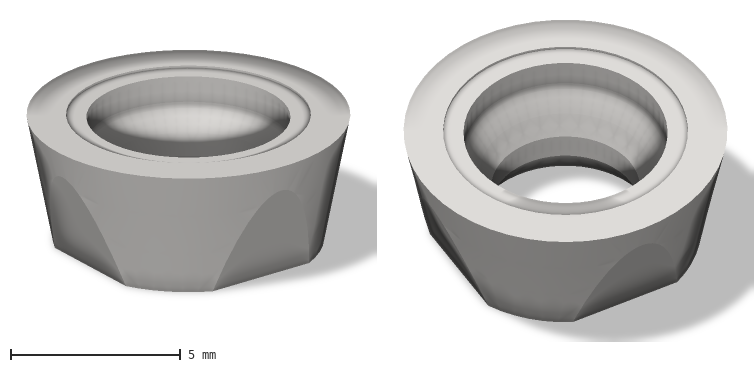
import cadquery as cq
import math

top_radius = 4.765
height = 3.97
clearance_angle = 11.0
bottom_radius = top_radius - height * math.tan(math.radians(clearance_angle))

flat_count = 4
flat_turn = -3.0
flat_tilt = 18.0
flat_distance = 3.58

recess_radius = 3.6
recess_depth = 0.09

bore_radius = 3.0
bore_depth = 0.9
seat_radius = 2.94
seat_depth = 1.07
throat_radius = 2.52
throat_depth = 1.67
hole_radius = 2.19
hole_depth = 2.3
relief_radius = 2.72
relief_height = 0.91


def make_body():
    outline = [(0, 0), (bottom_radius, 0), (top_radius, height), (0, height)]
    return cq.Workplane("XZ").polyline(outline).close().revolve(360, (0, 0), (0, 1))


def make_flat_cutter(angle):
    """Wedge outside one flat, turned to the given angle about Z."""
    top_distance = flat_distance + height * math.tan(math.radians(flat_tilt))
    outside = 2 * top_radius
    return (
        cq.Workplane("XZ")
        .polyline([(flat_distance, 0), (top_distance, height), (outside, height), (outside, 0)])
        .close()
        .extrude(top_radius, both=True)
        .rotate((0, 0, 0), (0, 0, 1), angle)
    )


def make_screw_hole():
    """Revolved hole profile, drawn from the bottom face upwards."""
    return (
        cq.Workplane("XZ")
        .lineTo(relief_radius, 0)
        .lineTo(hole_radius, relief_height)
        .lineTo(hole_radius, height - hole_depth)
        .lineTo(throat_radius, height - throat_depth)
        .tangentArcPoint((seat_radius, height - seat_depth), relative=False)
        .tangentArcPoint((bore_radius, height - bore_depth), relative=False)
        .lineTo(bore_radius, height - recess_depth)
        .lineTo(recess_radius, height - recess_depth)
        .lineTo(recess_radius, height)
        .lineTo(0, height)
        .close()
        .revolve(360, (0, 0), (0, 1))
    )


result = make_body()
for index in range(flat_count):
    result = result.cut(make_flat_cutter(flat_turn + index * 360 / flat_count))
result = result.cut(make_screw_hole())